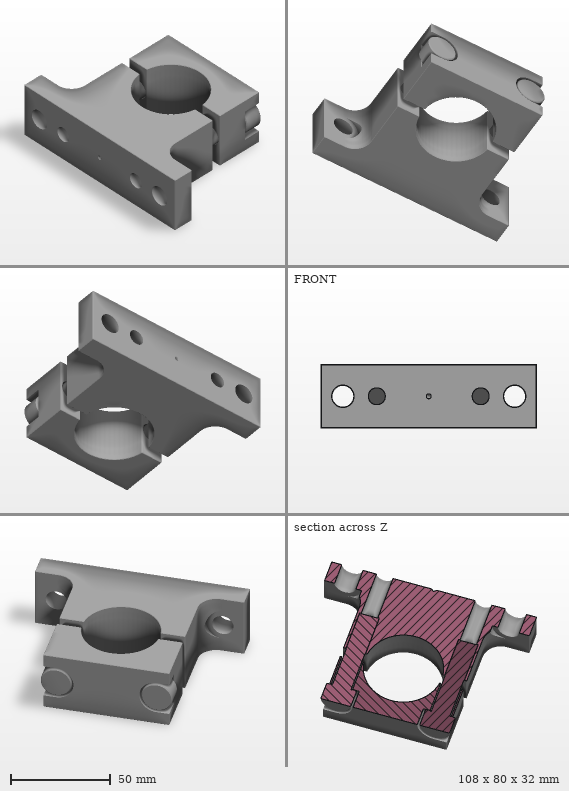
import cadquery as cq

thickness = 32.0
body_width = 65.0
overall_depth = 80.0
edge_chamfer = 0.25

bore_diameter = 40.0
bore_y = 50.0
clamp_gap = 5.0
base_top_y = bore_y - clamp_gap / 2
cap_bottom_y = bore_y + clamp_gap / 2

foot_width = 108.0
foot_depth = 12.0
foot_fillet = 9.5
mount_hole_diameter = 11.0
mount_hole_x = 43.0
spotface_diameter = 17.0

mark_diameter = 2.5
mark_depth = mark_diameter / 2

screw_x = 26.0
screw_diameter = 10.0
screw_length = 45.0
clearance_hole_diameter = 11.0
head_diameter = 16.0
head_height = 10.0
head_chamfer = 0.5
tap_hole_diameter = 8.5
head_seat_y = overall_depth - head_height
screw_tip_y = head_seat_y - screw_length

head_slot_width = 18.0

sides = (-1, 1)
y_direction = cq.Vector(0, 1, 0)


def y_cylinder(diameter, x, y_start, y_end):
    """Cylinder along +Y between two Y positions."""
    start = cq.Vector(x, y_start, 0)
    return cq.Workplane(cq.Solid.makeCylinder(diameter / 2, y_end - y_start, start, y_direction))


def block(width, y_start, y_end):
    """Full-thickness block centred on x = 0."""
    return (
        cq.Workplane("XY")
        .box(width, y_end - y_start, thickness, centered=(True, False, True))
        .translate((0, y_start, 0))
    )


def shaft_bore():
    return cq.Workplane("XY").center(0, bore_y).circle(bore_diameter / 2).extrude(thickness, both=True)


def make_base():
    """Lower clamp half with its mounting foot."""
    base = block(foot_width, 0, foot_depth).union(block(body_width, 0, base_top_y))
    base = base.edges("|Z and (not (<X or >X or >Y))").fillet(foot_fillet)
    base = base.cut(shaft_bore())
    base = base.edges("|Z and (<X or >X or >Y)").chamfer(edge_chamfer)
    base = base.faces("<Z or >Z").chamfer(edge_chamfer)

    for side in sides:
        mount_x = side * mount_hole_x
        base = base.cut(y_cylinder(mount_hole_diameter, mount_x, 0, foot_depth))
        base = base.cut(y_cylinder(spotface_diameter, mount_x, foot_depth, base_top_y))
        x = side * screw_x
        base = base.cut(y_cylinder(tap_hole_diameter, x, 0, screw_tip_y))
        base = base.cut(y_cylinder(screw_diameter, x, screw_tip_y, base_top_y))

    centre_mark = cq.Solid.makeCone(mark_diameter / 2, 0, mark_depth, cq.Vector(0, 0, 0), y_direction)
    return base.cut(cq.Workplane(centre_mark))


def make_cap():
    """Upper clamp half with a side-opening slot for each screw head."""
    cap = block(body_width, cap_bottom_y, overall_depth).cut(shaft_bore())
    cap = cap.edges("|Z").chamfer(edge_chamfer)
    cap = cap.faces("<Z or >Z").chamfer(edge_chamfer)

    for side in sides:
        x = side * screw_x
        slot_end = y_cylinder(head_slot_width, x, head_seat_y, overall_depth)
        slot_mouth = (
            cq.Workplane("XY")
            .box(head_slot_width, head_height, head_slot_width, centered=(True, False, True))
            .translate((x + side * head_slot_width / 2, head_seat_y, 0))
        )
        cap = cap.cut(slot_end).cut(slot_mouth)
        cap = cap.cut(y_cylinder(clearance_hole_diameter, x, cap_bottom_y, head_seat_y))
    return cap


def make_clamp_screw(x):
    """Cap screw with its head flush with the cap's back face."""
    head = y_cylinder(head_diameter, x, head_seat_y, overall_depth).edges().chamfer(head_chamfer)
    shank = y_cylinder(screw_diameter, x, screw_tip_y, head_seat_y)
    return head.union(shank)


base = make_base()
cap = make_cap()
clamp_screws = [make_clamp_screw(side * screw_x) for side in sides]

result = cq.Compound.makeCompound([base.val(), cap.val(), *[screw.val() for screw in clamp_screws]])